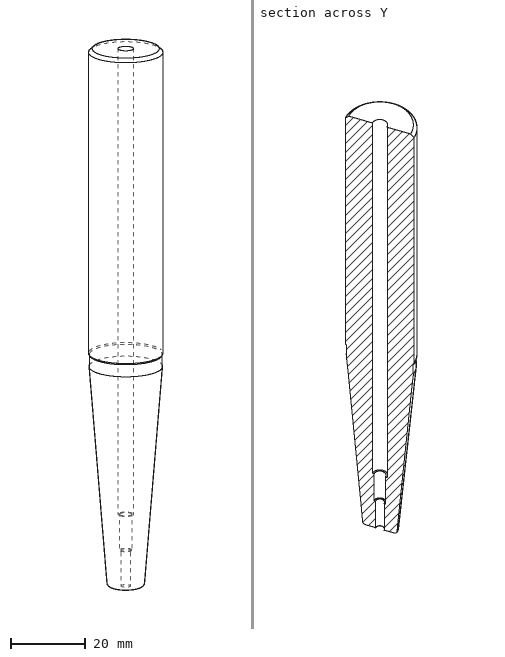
import cadquery as cq

total_length = 150.0
shank_length = 85.0
relief_width = 3.75
relief_top_z = total_length - shank_length
relief_bottom_z = relief_top_z - relief_width

shank_diameter = 20.0
relief_diameter = 19.5
taper_top_diameter = 19.7
tip_diameter = 10.0

relief_bevel_height = 0.4
shank_chamfer = 1.0
tip_fillet = 1.0

tip_bore_diameter = 2.5
tip_bore_depth = 10.0
middle_bore_diameter = 3.3
middle_bore_top_z = 20.0
rear_bore_diameter = 4.2


def turned_body():
    """Cylindrical shank, shallow relief groove and tapered nose, revolved about Z."""
    shank_radius = shank_diameter / 2
    relief_radius = relief_diameter / 2
    profile = (
        cq.Workplane("YZ")
        .moveTo(0, 0)
        .lineTo(tip_diameter / 2, 0)
        .lineTo(taper_top_diameter / 2, relief_bottom_z)
        .lineTo(relief_radius, relief_bottom_z + relief_bevel_height)
        .lineTo(relief_radius, relief_top_z - relief_bevel_height)
        .lineTo(shank_radius, relief_top_z)
        .lineTo(shank_radius, total_length)
        .lineTo(0, total_length)
        .close()
    )
    return profile.revolve(360, (0, 0, 0), (0, 1, 0))


def bore(diameter, bottom_z, top_z):
    """Cylinder on the Z axis that removes one section of the stepped bore."""
    return cq.Workplane("XY").workplane(offset=bottom_z).circle(diameter / 2).extrude(top_z - bottom_z)


body = turned_body()
body = body.faces(">Z").edges().chamfer(shank_chamfer)
body = body.faces("<Z").edges().fillet(tip_fillet)
body = body.cut(bore(tip_bore_diameter, 0, tip_bore_depth))
body = body.cut(bore(middle_bore_diameter, tip_bore_depth, middle_bore_top_z))
result = body.cut(bore(rear_bore_diameter, middle_bore_top_z, total_length))